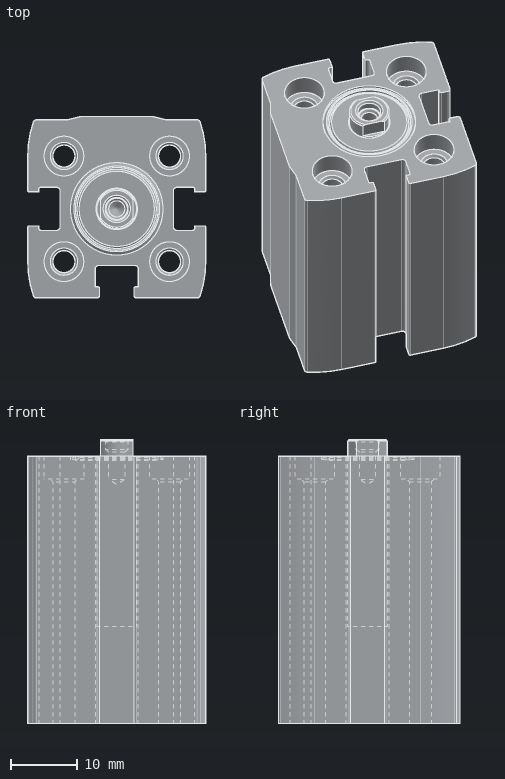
import cadquery as cq
import math

total_height = 43.0
housing_height = 40.5
half_width = 13.5
crown_y = 14.0

flat_side_half = 8.0
side_bow_radius = 16.0
corner_radius = 0.5
crown_half_width = 5.4
crown_foot_half_width = 7.5

slot_mouth = 5.15
slot_width = 6.5
slot_depth = 4.9
slot_floor_radius = 0.5
lip_thickness = 1.7
side_mouth_radius = 0.2
side_pocket_radius = 0.25
front_lip_radius = 0.45
front_lip_inner_radius = 0.3

mount_pitch = 16.0
mount_diameter = 3.3
mount_cone_diameter = 4.13
mount_counterbore_diameter = 6.0
mount_counterbore_depth = 3.5

collar_groove_diameter = 14.0
collar_outer_diameter = 13.0
collar_inner_diameter = 12.55
collar_recess = 0.15
collar_cone_rise = 0.35
cover_diameter = 12.0
cover_recess = 0.2
cover_chamfer = 0.3
inner_groove_depth = 0.65
rod_bore_chamfer = 0.15

rod_diameter = 6.0
rod_flat_width = 5.0
rod_insertion = 25.8
rod_chamfer = 0.2
socket_mouth_diameter = 4.13
socket_diameter = 3.5
socket_depth = 1.5
thread_mouth_diameter = 3.22
thread_diameter = 2.45
thread_depth = 6.0
drill_tip_angle = 118.0


def cone_depth(large_diameter, small_diameter):
    """Height of a 45 degree cone between two diameters."""
    return (large_diameter - small_diameter) / 2


def revolve_profile(points):
    """Solid of revolution about Z from (radius, z) points."""
    return cq.Workplane("XZ").polyline(points).close().revolve(360, (0, 0, 0), (0, 1, 0))


def round_upright_edges(body, places, radius):
    """Fillet the vertical edges that stand at the given (x, y) places."""
    edges = body.newObject([])
    for x, y in places:
        nearest = cq.NearestToPointSelector((x, y, housing_height / 2))
        edges = edges.add(body.edges("|Z").edges(nearest))
    return edges.fillet(radius)


def make_blank():
    """Extruded outline with bowed sides and a raised back face."""
    bow_rise = half_width - flat_side_half
    bow_inset = side_bow_radius - math.sqrt(side_bow_radius**2 - bow_rise**2)
    corner_x = half_width - bow_inset
    blank = (
        cq.Workplane("XY")
        .moveTo(0, -half_width)
        .lineTo(corner_x, -half_width)
        .radiusArc((half_width, -flat_side_half), -side_bow_radius)
        .lineTo(half_width, flat_side_half)
        .radiusArc((corner_x, half_width), -side_bow_radius)
        .lineTo(crown_foot_half_width, half_width)
        .lineTo(crown_half_width, crown_y)
        .lineTo(0, crown_y)
        .mirrorY()
        .extrude(housing_height)
    )
    corners = [(sx * corner_x, sy * half_width) for sx in (-1, 1) for sy in (-1, 1)]
    return round_upright_edges(blank, corners, corner_radius)


def slot_places(angle, distance_in, half_gap):
    """The two mirrored (x, y) places of a slot that opens at the given angle about Z."""
    turn = math.radians(angle)
    out = half_width - distance_in
    return [
        (out * math.cos(turn) - side * math.sin(turn), out * math.sin(turn) + side * math.cos(turn))
        for side in (-half_gap, half_gap)
    ]


def cut_slot(body, angle):
    """T-slot along the full height, opening at the given angle about Z."""
    pocket_length = slot_depth - lip_thickness
    pocket = cq.Workplane("XY").center(half_width - slot_depth + pocket_length / 2, 0)
    pocket = pocket.rect(pocket_length, slot_width).extrude(housing_height)
    throat = cq.Workplane("XY").center(half_width - slot_depth / 2, 0)
    throat = throat.rect(slot_depth, slot_mouth).extrude(housing_height)
    slot = pocket.union(throat).rotate((0, 0, 0), (0, 0, 1), angle)
    return body.cut(slot)


def cut_side_slot(body, angle):
    """Slot in a left or right side, with rounded pocket corners."""
    body = cut_slot(body, angle)
    body = round_upright_edges(body, slot_places(angle, 0, slot_mouth / 2), side_mouth_radius)
    body = round_upright_edges(
        body, slot_places(angle, lip_thickness, slot_width / 2), side_pocket_radius
    )
    return round_upright_edges(body, slot_places(angle, slot_depth, slot_width / 2), slot_floor_radius)


def cut_front_slot(body):
    """Slot in the front face, with rounded lips."""
    angle = -90
    body = cut_slot(body, angle)
    body = round_upright_edges(body, slot_places(angle, 0, slot_mouth / 2), front_lip_radius)
    body = round_upright_edges(
        body, slot_places(angle, lip_thickness, slot_mouth / 2), front_lip_inner_radius
    )
    return round_upright_edges(body, slot_places(angle, slot_depth, slot_width / 2), slot_floor_radius)


def make_mount_hole():
    """Through hole with a cone and a counterbore at its top."""
    floor_z = housing_height - mount_counterbore_depth
    cone_z = floor_z - cone_depth(mount_cone_diameter, mount_diameter)
    return revolve_profile([
        (0, 0),
        (mount_diameter / 2, 0),
        (mount_diameter / 2, cone_z),
        (mount_cone_diameter / 2, floor_z),
        (mount_counterbore_diameter / 2, floor_z),
        (mount_counterbore_diameter / 2, housing_height),
        (0, housing_height),
    ])


def make_cover_recess():
    """Shallow recess above the rod cover, with a groove round its chamfered rim."""
    cover_z = housing_height - cover_recess
    groove_z = housing_height - inner_groove_depth
    return revolve_profile([
        (0, cover_z - rod_bore_chamfer),
        (rod_diameter / 2, cover_z - rod_bore_chamfer),
        (rod_diameter / 2 + rod_bore_chamfer, cover_z),
        (cover_diameter / 2 - cover_chamfer, cover_z),
        (cover_diameter / 2, cover_z - cover_chamfer),
        (cover_diameter / 2, groove_z),
        (collar_inner_diameter / 2, groove_z),
        (collar_inner_diameter / 2, housing_height),
        (0, housing_height),
    ])


def make_collar_recess():
    """Recess with a straight outer wall, a cone that rises inward and the flat collar rim."""
    rim_z = housing_height - collar_recess
    groove_z = rim_z - collar_cone_rise
    return revolve_profile([
        (0, rim_z),
        (collar_outer_diameter / 2, rim_z),
        (collar_groove_diameter / 2, groove_z),
        (collar_groove_diameter / 2, housing_height),
        (0, housing_height),
    ])


def make_housing():
    housing = make_blank()
    for angle in (0, 180):
        housing = cut_side_slot(housing, angle)
    housing = cut_front_slot(housing)
    mount_hole = make_mount_hole()
    for sx in (-1, 1):
        for sy in (-1, 1):
            housing = housing.cut(mount_hole.translate((sx * mount_pitch / 2, sy * mount_pitch / 2, 0)))
    housing = housing.cut(make_cover_recess()).cut(make_collar_recess())
    rod_bore = cq.Workplane("XY").workplane(offset=housing_height - rod_insertion)
    return housing.cut(rod_bore.circle(rod_diameter / 2).extrude(rod_insertion))


def make_rod_socket():
    """Chamfered socket above a countersunk thread hole with a drill tip."""
    socket_z = total_height - socket_depth
    thread_z = total_height - thread_depth
    tip_height = thread_diameter / 2 / math.tan(math.radians(drill_tip_angle / 2))
    return revolve_profile([
        (0, thread_z - tip_height),
        (thread_diameter / 2, thread_z),
        (thread_diameter / 2, socket_z - cone_depth(thread_mouth_diameter, thread_diameter)),
        (thread_mouth_diameter / 2, socket_z),
        (socket_diameter / 2, socket_z),
        (socket_diameter / 2, total_height - cone_depth(socket_mouth_diameter, socket_diameter)),
        (socket_mouth_diameter / 2, total_height),
        (0, total_height),
    ])


def make_rod():
    """Round rod with two wrench flats on its exposed end."""
    exposed = total_height - housing_height
    rod = (
        cq.Workplane("XY")
        .workplane(offset=housing_height - rod_insertion)
        .circle(rod_diameter / 2)
        .extrude(rod_insertion + exposed)
        .faces(">Z")
        .chamfer(rod_chamfer)
    )
    flat_depth = (rod_diameter - rod_flat_width) / 2
    flat_center_x = rod_flat_width / 2 + flat_depth / 2
    flats = (
        cq.Workplane("XY")
        .workplane(offset=housing_height)
        .pushPoints([(-flat_center_x, 0), (flat_center_x, 0)])
        .rect(flat_depth, rod_diameter)
        .extrude(exposed)
    )
    return rod.cut(flats).cut(make_rod_socket())


housing = make_housing()
rod = make_rod()
result = cq.Compound.makeCompound([housing.val(), rod.val()])